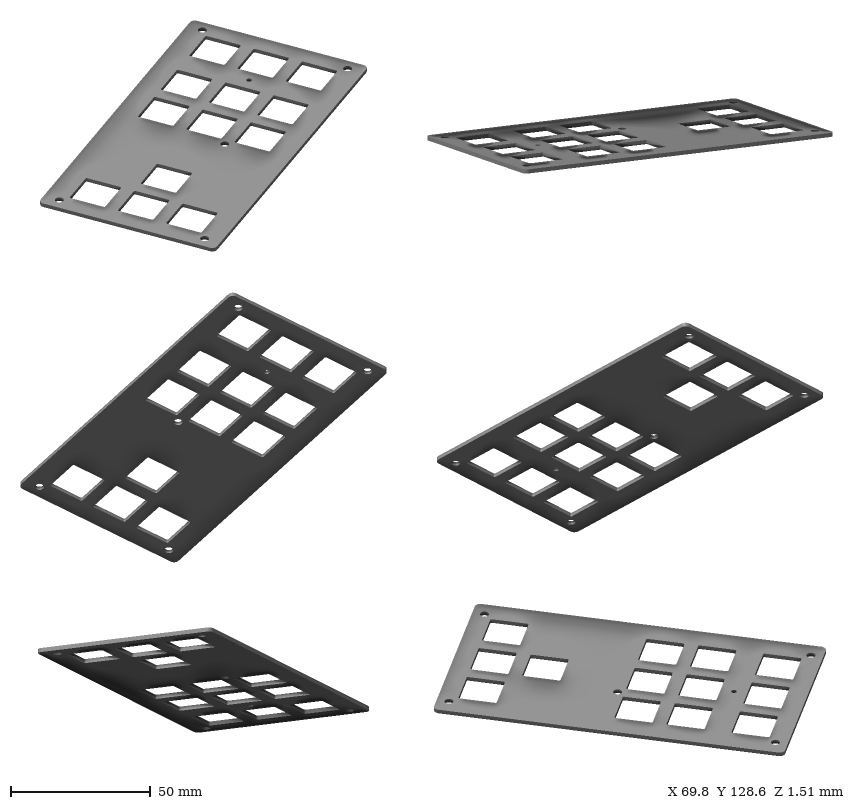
import cadquery as cq

plate_width = 69.75
plate_length = 128.59
plate_thickness = 1.51
corner_radius = 2.0

key_pitch = 19.05
cutout_size = 14.0
cutout_corner_radius = 0.5
top_row_gap = 1.25 * key_pitch
bottom_row_gap = 2 * key_pitch

row_span = top_row_gap + bottom_row_gap + 2 * key_pitch
bottom_row_y = -row_span / 2
single_key_y = bottom_row_y + key_pitch
third_row_y = single_key_y + bottom_row_gap
second_row_y = third_row_y + key_pitch
top_row_y = second_row_y + top_row_gap
full_rows = [top_row_y, second_row_y, third_row_y, bottom_row_y]

mount_hole_diameter = 3.2
small_hole_diameter = 2.0
corner_hole_x = 28.7
corner_hole_y = 59.8
corner_holes = [(x, y) for x in (-corner_hole_x, corner_hole_x) for y in (-corner_hole_y, corner_hole_y)]
inner_mount_hole = (key_pitch / 2, third_row_y - key_pitch / 2)
small_hole = (0, (top_row_y + second_row_y) / 2)


def make_plate():
    """Flat rounded rectangle resting on Z = 0."""
    plate = cq.Workplane("XY").box(
        plate_width, plate_length, plate_thickness, centered=(True, True, False)
    )
    return plate.edges("|Z").fillet(corner_radius)


def make_key_cutouts():
    """Square through openings: four rows of three keys and one single key."""
    centres = [(x, y) for y in full_rows for x in (-key_pitch, 0, key_pitch)]
    centres.append((0, single_key_y))
    cutouts = cq.Workplane("XY").pushPoints(centres).rect(cutout_size, cutout_size)
    return cutouts.extrude(plate_thickness).edges("|Z").fillet(cutout_corner_radius)


def make_round_holes(centres, diameter):
    """Round through holes of one diameter."""
    return cq.Workplane("XY").pushPoints(centres).circle(diameter / 2).extrude(plate_thickness)


result = (
    make_plate()
    .cut(make_key_cutouts())
    .cut(make_round_holes(corner_holes + [inner_mount_hole], mount_hole_diameter))
    .cut(make_round_holes([small_hole], small_hole_diameter))
)